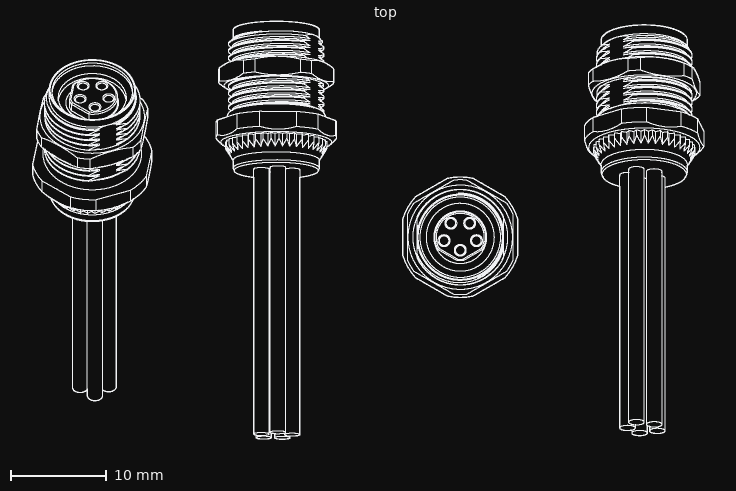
import cadquery as cq
import math


body_length = 15.0
body_radius = 4.5
rear_chamfer_height = 0.25
rear_chamfer_width = 0.1

cone_bottom = 1.1
knurl_bottom = 2.4
knurl_radius = 5.3
knurl_teeth = 40
knurl_groove_depth = 0.45

flange_bottom = 3.0
flange_top = 5.1
flange_across_flats = 12.0
flange_corner_radius = 6.3
flange_chamfer = 0.5

seal_minor_radius = 0.55
seal_outer_radius = 5.15

thread_bottom = 6.3
thread_top = 14.0
thread_radius = 5.0
thread_root_radius = 4.6
thread_pitch = 0.75
thread_turns = 12
thread_start = 5.88
thread_crest_width = thread_pitch / 8
ridge_overlap = 0.15
lead_in_relief = 0.15

nut_bottom = 9.05
nut_top = 11.1
nut_across_flats = 11.0
nut_corner_radius = 6.0
nut_bore_radius = 4.95
nut_chamfer_width = 0.55
nut_chamfer_height = 0.33

rim_inner_radius = 4.4
mouth_radius = 4.2
mouth_depth = 0.6
step_radius = 4.0
step_depth = 0.7
socket_radius = 3.55
socket_wall_top_depth = 1.1
socket_depth = 1.9

bead_inner_radius = 2.75

insert_depth = 0.8
insert_radius = 2.65
insert_chamfer = 0.15
key_tip_y = -2.45
key_side_angle = 30.0
key_tip_half_width = 0.3

contact_positions = [(-0.98, 1.46), (0.98, 1.46), (-1.69, -0.36), (1.69, -0.36), (0.0, -1.36)]
hole_radius = 0.5
hole_chamfer = 0.12
hole_depth = 3.0
hole_tip_height = 0.3
wire_radius = 0.81
wire_length = 28.2


def revolve_profile(points):
    """Turn a closed (radius, z) outline about the Z axis."""
    return cq.Workplane("XZ").polyline(points).close().revolve(360, (0, 0, 0), (0, 1, 0))


def disc(radius, bottom, top):
    return cq.Workplane("XY").workplane(offset=bottom).circle(radius).extrude(top - bottom)


def hexagon(across_flats, bottom, top):
    """Hexagonal prism with two flats facing +X and -X."""
    corner_diameter = across_flats / math.cos(math.pi / 6)
    prism = cq.Workplane("XY").polygon(6, corner_diameter).extrude(top - bottom)
    return prism.rotate((0, 0, 0), (0, 0, 1), 30).translate((0, 0, bottom))


def make_ring(ring_radius, ring_height, minor_radius):
    """Torus around the Z axis."""
    return (
        cq.Workplane("XZ")
        .center(ring_radius, ring_height)
        .circle(minor_radius)
        .revolve(360, (-ring_radius, 0, 0), (-ring_radius, 1, 0))
    )


def make_rear():
    """Rear collar with its chamfer and the cone that carries the knurl."""
    rear = revolve_profile([
        (0, 0),
        (body_radius - rear_chamfer_width, 0),
        (body_radius, rear_chamfer_height),
        (body_radius, cone_bottom),
        (knurl_radius, knurl_bottom),
        (knurl_radius, flange_bottom),
        (0, flange_bottom),
    ])
    tooth_angle = 2 * math.pi / knurl_teeth
    valley_radius = knurl_radius - knurl_groove_depth
    toothed_outline = []
    for tooth in range(knurl_teeth):
        valley = tooth * tooth_angle
        crest = valley + tooth_angle / 2
        toothed_outline.append((valley_radius * math.cos(valley), valley_radius * math.sin(valley)))
        toothed_outline.append((knurl_radius * math.cos(crest), knurl_radius * math.sin(crest)))
    toothed = cq.Workplane("XY").polyline(toothed_outline).close().extrude(flange_bottom)
    return rear.intersect(toothed)


def make_flange():
    """Hexagonal flange with turned corners and a chamfered rear edge."""
    turned = disc(flange_corner_radius, flange_bottom, flange_top)
    turned = turned.faces("<Z").chamfer(flange_chamfer)
    return hexagon(flange_across_flats, flange_bottom, flange_top).intersect(turned)


def make_nut():
    """Hexagonal nut with turned corners and both ends chamfered."""
    face_radius = nut_corner_radius - nut_chamfer_width
    turned = revolve_profile([
        (nut_bore_radius, nut_bottom),
        (face_radius, nut_bottom),
        (nut_corner_radius, nut_bottom + nut_chamfer_height),
        (nut_corner_radius, nut_top - nut_chamfer_height),
        (face_radius, nut_top),
        (nut_bore_radius, nut_top),
    ])
    return hexagon(nut_across_flats, nut_bottom, nut_top).intersect(turned)


def make_seal():
    ring_radius = seal_outer_radius - seal_minor_radius
    return make_ring(ring_radius, flange_top + seal_minor_radius, seal_minor_radius)


def make_thread():
    """Threaded length, with a lead-in at the front and a flat on each X side."""
    base_radius = thread_root_radius - ridge_overlap
    crest_half = thread_crest_width / 2
    base_half = crest_half + (thread_radius - base_radius) * math.tan(math.pi / 6)
    path = cq.Wire.makeHelix(thread_pitch, thread_pitch * thread_turns, base_radius)
    ridge = (
        cq.Workplane("XZ")
        .polyline([
            (base_radius, -base_half),
            (thread_radius, -crest_half),
            (thread_radius, crest_half),
            (base_radius, base_half),
        ])
        .close()
        .sweep(cq.Workplane(path), isFrenet=True)
        .translate((0, 0, thread_start))
    )
    limit_radius = thread_radius + ridge_overlap
    limits = revolve_profile([
        (0, thread_bottom),
        (limit_radius, thread_bottom),
        (limit_radius, thread_top - (limit_radius - body_radius)),
        (body_radius, thread_top),
        (0, thread_top),
    ])
    core = disc(thread_root_radius, thread_bottom, thread_top - lead_in_relief)
    between_flats = cq.Workplane("XY").box(2 * body_radius, 4 * body_radius, 4 * body_length)
    return core.union(ridge.intersect(limits)).intersect(between_flats)


def make_socket():
    """Space removed from the front face, down to the floor around the insert."""
    return revolve_profile([
        (0, body_length),
        (rim_inner_radius, body_length),
        (mouth_radius, body_length - (rim_inner_radius - mouth_radius)),
        (mouth_radius, body_length - mouth_depth),
        (step_radius, body_length - step_depth),
        (socket_radius, body_length - socket_wall_top_depth),
        (socket_radius, body_length - socket_depth),
        (0, body_length - socket_depth),
    ])


def make_bead():
    """Ring half sunk in the socket floor, between the insert and the socket wall."""
    ring_radius = (socket_radius + bead_inner_radius) / 2
    minor_radius = (socket_radius - bead_inner_radius) / 2
    return make_ring(ring_radius, body_length - socket_depth, minor_radius)


def make_insert():
    """Contact carrier: a disc whose -Y side narrows to a blunt key."""
    bottom = body_length - socket_depth
    top = body_length - insert_depth
    slope = math.tan(math.radians(key_side_angle))
    shoulder_y = key_tip_y + (insert_radius - key_tip_half_width) * slope
    key_outline = (
        cq.Workplane("XY")
        .workplane(offset=bottom)
        .polyline([
            (-key_tip_half_width, key_tip_y),
            (key_tip_half_width, key_tip_y),
            (insert_radius, shoulder_y),
            (insert_radius, insert_radius),
            (-insert_radius, insert_radius),
            (-insert_radius, shoulder_y),
        ])
        .close()
        .extrude(top - bottom)
    )
    carrier = disc(insert_radius, bottom, top).intersect(key_outline)
    return carrier.faces(">Z").chamfer(insert_chamfer)


def make_contact_hole():
    """Blind hole with a chamfered mouth and a conical end."""
    top = body_length - insert_depth
    return revolve_profile([
        (0, top),
        (hole_radius + hole_chamfer, top),
        (hole_radius, top - hole_chamfer),
        (hole_radius, top - hole_depth),
        (0, top - hole_depth - hole_tip_height),
    ])


body = make_rear()
body = body.union(make_flange())
body = body.union(disc(body_radius, flange_bottom, body_length))
body = body.union(make_seal())
body = body.union(make_thread())
body = body.union(make_nut())
body = body.cut(make_socket())
body = body.union(make_bead())
body = body.union(make_insert())

contact_hole = make_contact_hole()
for x, y in contact_positions:
    body = body.cut(contact_hole.translate((x, y, 0)))
    body = body.union(disc(wire_radius, -wire_length, rear_chamfer_height).translate((x, y, 0)))

result = body